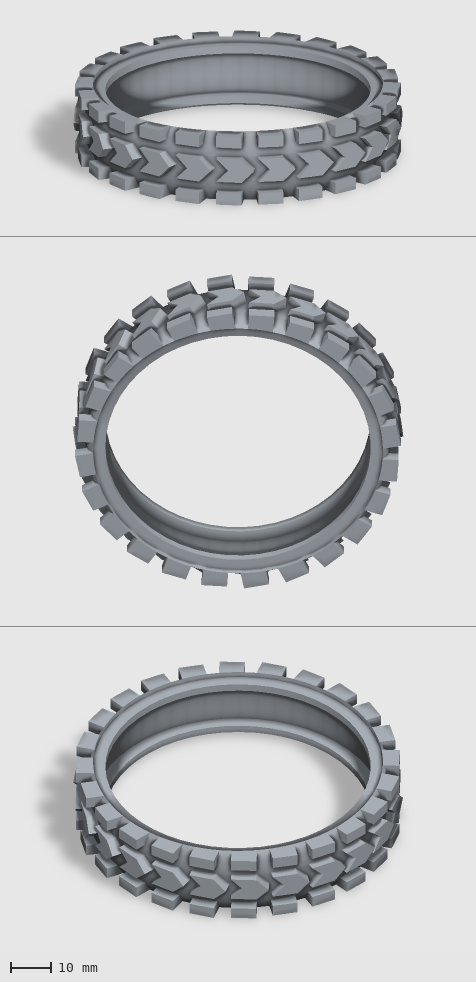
import cadquery as cq

height = 18.0
half_height = height / 2
bore_radius = 33.0
recess_radius = 36.0
crown_radius = 38.0
band_half_height = 3.05
recess_depth = 1.5
lip_height = 2.0
groove_height = 2 * (half_height - recess_depth - lip_height)

lug_count = 24
lug_pitch = 360 / lug_count
lug_face = 40.05
lug_root = 35.4
lug_width = 6.3
side_lug_height = height / 6
arrow_half_height = band_half_height
arrow_reach = arrow_half_height


def crown():
    """Solid barrel: a middle band with a tangent shoulder arc down to the rim at each end."""
    drop = crown_radius - recess_radius
    rise = half_height - band_half_height
    arc_radius = (rise**2 + drop**2) / (2 * drop)
    mid_rise = rise / 2
    mid_drop = arc_radius - (arc_radius**2 - mid_rise**2) ** 0.5
    mid_radius = crown_radius - mid_drop
    mid_height = band_half_height + mid_rise
    profile = (
        cq.Workplane("XZ")
        .moveTo(0, -half_height)
        .lineTo(recess_radius, -half_height)
        .threePointArc((mid_radius, -mid_height), (crown_radius, -band_half_height))
        .lineTo(crown_radius, band_half_height)
        .threePointArc((mid_radius, mid_height), (recess_radius, half_height))
        .lineTo(0, half_height)
        .close()
    )
    return profile.revolve(360, (0, 0, 0), (0, 1, 0))


def disc(radius, bottom, thickness):
    return cq.Workplane("XY", origin=(0, 0, bottom)).circle(radius).extrude(thickness)


def cavity():
    """Through bore with a shallow recess at each end and a wide groove between the two lips."""
    bore = disc(bore_radius, -half_height, height)
    top_recess = disc(recess_radius, half_height - recess_depth, recess_depth)
    bottom_recess = disc(recess_radius, -half_height, recess_depth)
    groove = disc(recess_radius, -groove_height / 2, groove_height)
    return bore.union(top_recess).union(bottom_recess).union(groove)


def lug_plane():
    return cq.Workplane("XZ", origin=(0, -lug_root, 0))


def side_lug(bottom):
    outline = lug_plane().moveTo(0, bottom).rect(lug_width, side_lug_height, centered=False)
    return outline.extrude(lug_face - lug_root)


def arrow_lug():
    points = [
        (0, -arrow_half_height),
        (lug_width, -arrow_half_height),
        (lug_width + arrow_reach, 0),
        (lug_width, arrow_half_height),
        (0, arrow_half_height),
        (arrow_reach, 0),
    ]
    return lug_plane().polyline(points).close().extrude(lug_face - lug_root)


lug_row = [side_lug(half_height - side_lug_height), arrow_lug(), side_lug(-half_height)]
lugs = [
    lug.rotate((0, 0, 0), (0, 0, 1), index * lug_pitch).val()
    for index in range(lug_count)
    for lug in lug_row
]

treaded_crown = cq.Workplane(crown().val().fuse(*lugs))
result = treaded_crown.cut(cavity()).solids()